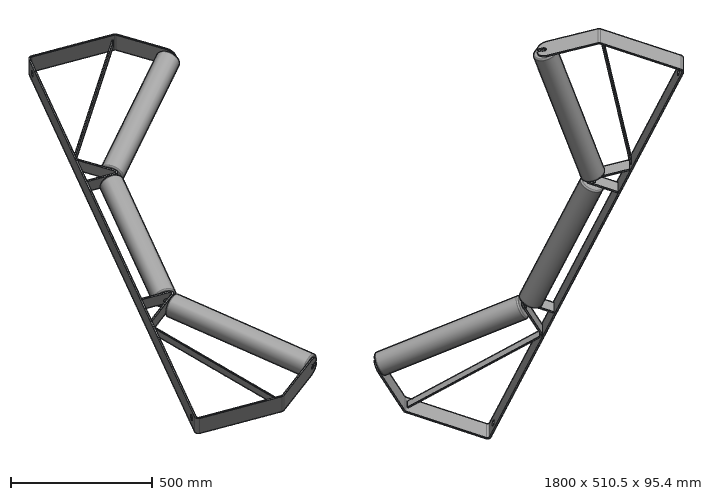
import cadquery as cq
import math


span = 1800.0
strap_width = 81.0
strap_thickness = 6.0
bend_radius = 15.0
tip_length = 27.0
tip_radius = 38.0

support_thickness = 6.3
support_width = 54.0
apex_radius = 10.0

brace_thickness = 5.0
brace_width = 35.0
brace_foot_x = 421.0
brace_top_y = 315.0
weld_depth = 2.0

mount_slot_x = 853.0
mount_slot_width = 16.0
mount_slot_length = 25.0

shaft_slot_width = 16.0

roller_diameter = 88.0
roller_length = 572.0
roller_edge_radius = 5.0
shaft_diameter = 16.0
end_gap = 4.0
middle_y = 99.0
middle_z = -10.0
side_x = 542.0
side_y = 295.0
side_z = -7.5
trough_angle = 40.0
side_tilt = 0.7

half_span = span / 2
half_width = strap_width / 2
inner_wall_x = half_span - strap_thickness
plate_offset = roller_length / 2 + end_gap
outer_plate_offset = plate_offset + strap_thickness
axis_x = math.cos(math.radians(trough_angle))
axis_y = math.sin(math.radians(trough_angle))


def side_point(along, across):
    """Point in XY, measured along the right-hand roller axis and square to it."""
    return (side_x + along * axis_x - across * axis_y, side_y + along * axis_y + across * axis_x)


def point_at_x(along, x):
    """Point with the given X on the line square to the roller axis at `along`."""
    return side_point(along, (side_x + along * axis_x - x) / axis_y)


def point_at_y(along, y):
    """Point with the given Y on the line square to the roller axis at `along`."""
    return side_point(along, (y - side_y - along * axis_y) / axis_x)


def mirrored(points):
    """The points mirrored in X = 0 and in reverse order, to carry an outline round."""
    return [(-x, y) for x, y in reversed(points)]


def place_side(shape):
    """Move a shape built on the X axis to the right-hand side roller."""
    tilted = shape.rotate((0, 0, 0), (0, 1, 0), -side_tilt)
    sloped = tilted.rotate((0, 0, 0), (0, 0, 1), trough_angle)
    return sloped.translate((side_x, side_y, side_z))


def make_roller():
    """Roller with rounded edges and a through shaft, along the X axis and centred on the origin."""
    start = cq.Workplane("YZ", origin=(-roller_length / 2, 0, 0))
    shell = start.circle(roller_diameter / 2).extrude(roller_length).edges().fillet(roller_edge_radius)
    shaft_start = cq.Workplane("YZ", origin=(-outer_plate_offset, 0, 0))
    shaft = shaft_start.circle(shaft_diameter / 2).extrude(2 * outer_plate_offset)
    return shell.union(shaft)


def extrude_across(points, width):
    """Extrude an XY outline by a width centred on Z = 0."""
    return cq.Workplane("XY", origin=(0, 0, -width / 2)).polyline(points).close().extrude(width)


def make_bar(start, end, thickness, width):
    """Flat bar on edge, its thickness to the left of the line from start to end."""
    dx, dy = end[0] - start[0], end[1] - start[1]
    length = math.hypot(dx, dy)
    left_x, left_y = -dy / length * thickness, dx / length * thickness
    far_side = [(end[0] + left_x, end[1] + left_y), (start[0] + left_x, start[1] + left_y)]
    return extrude_across([start, end, *far_side], width)


def fillet_edge(shape, point, radius):
    """Round the one edge whose middle is nearest to the point."""
    return shape.edges(cq.NearestToPointSelector(point)).fillet(radius)


def make_strap():
    """Outer strap: base, two side walls and two sloping end plates with rounded tips."""
    outer_bends = [(half_span, 0), point_at_x(outer_plate_offset, half_span)]
    inner_bends = [(inner_wall_x, strap_thickness), point_at_x(plate_offset, inner_wall_x)]
    tip_outer = side_point(outer_plate_offset, tip_length)
    tip_inner = side_point(plate_offset, tip_length)
    right_outer = [*outer_bends, tip_outer]
    right_inner = [tip_inner, *reversed(inner_bends)]
    outline = right_outer + right_inner + mirrored(right_outer + right_inner)
    strap = extrude_across(outline, strap_width)

    inner_radius = bend_radius - strap_thickness
    tip_middle = side_point((plate_offset + outer_plate_offset) / 2, tip_length)
    for side in (1, -1):
        for bends, radius in ((outer_bends, bend_radius), (inner_bends, inner_radius)):
            for x, y in bends:
                strap = fillet_edge(strap, (side * x, y, 0), radius)
        for z in (half_width, -half_width):
            strap = fillet_edge(strap, (side * tip_middle[0], tip_middle[1], z), tip_radius)
    return strap


def make_support():
    """Right-hand inner support: one flat bar folded into an upright and a slope."""
    far_x = plate_offset + support_thickness
    far_offset = -plate_offset - support_thickness
    outer_apex = point_at_x(-plate_offset, plate_offset)
    inner_apex = point_at_x(far_offset, far_x)
    outline = [
        (plate_offset, 0),
        outer_apex,
        point_at_y(-plate_offset, strap_thickness),
        point_at_y(far_offset, strap_thickness),
        inner_apex,
        (far_x, 0),
    ]
    support = extrude_across(outline, support_width)
    support = fillet_edge(support, (*outer_apex, 0), apex_radius)
    return fillet_edge(support, (*inner_apex, 0), apex_radius - support_thickness)


def make_brace():
    """Right-hand brace from the base to the top of the side wall."""
    foot = (brace_foot_x, strap_thickness - weld_depth)
    top = (inner_wall_x + weld_depth, brace_top_y)
    return make_bar(foot, top, brace_thickness, brace_width)


def make_shaft_slot():
    """Cutter for the right-hand end plate, open from the shaft axis to the tip."""
    start = (plate_offset, 0, 0)
    size = (strap_thickness, tip_length, shaft_slot_width)
    slot = cq.Workplane("XY").box(*size, centered=(False, False, True)).translate(start)
    return slot.rotate((0, 0, 0), (0, 0, 1), trough_angle).translate((side_x, side_y, 0))


def make_mount_slot():
    """Cutter for the right-hand mounting slot, which is long in Z and runs through the base."""
    sketch = cq.Workplane("XZ", origin=(mount_slot_x, 0, 0))
    return sketch.slot2D(mount_slot_length, mount_slot_width, 90).extrude(-strap_thickness)


def make_frame(rollers):
    """Frame welded from the strap, the supports and the braces, with its slots and shaft holes."""
    frame = make_strap()
    for part in (make_support(), make_brace()):
        frame = frame.union(part).union(part.mirror("YZ"))
    for cutter in (make_shaft_slot(), make_mount_slot()):
        frame = frame.cut(cutter).cut(cutter.mirror("YZ"))
    for roller in rollers:
        frame = frame.cut(roller)
    return frame


middle_roller = make_roller().translate((0, middle_y, middle_z))
right_roller = place_side(make_roller())
left_roller = right_roller.mirror("YZ")
rollers = [left_roller, middle_roller, right_roller]

frame = make_frame(rollers)

result = cq.Compound.makeCompound([frame.val(), *[roller.val() for roller in rollers]])